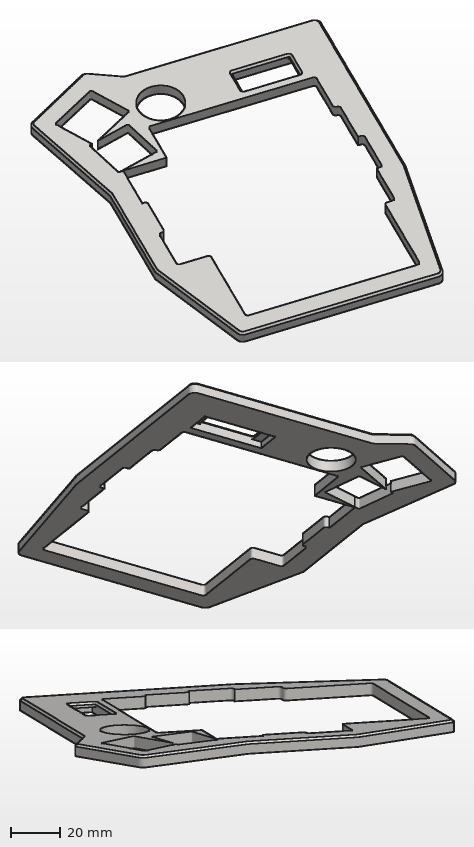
import cadquery as cq
import math

thickness = 5.0
edge_chamfer = 1.0

outline_radius = 3.0
left_x = 7.7
right_x = 163.0
top_y = 132.0
bottom_y = 14.3
tip_x = outline_radius * (1 - 1 / math.cos(math.radians(30)))
outline = [
    (left_x, top_y),
    (99.5, top_y),
    (right_x, 122.4),
    (right_x, 32.5),
    (115.7, bottom_y),
    (68.6, bottom_y),
    (18.4, -0.5),
    (tip_x, 31.6),
    (left_x, 46.1),
]

window_radius = 1.22
window_left = 38.8
window_right = 154.1
step_1_x = 58.0
step_2_top_x = 77.2
step_2_bottom_x = 78.2
step_3_x = 96.8
step_4_x = 116.3
shoulder_left_y = 117.6
shoulder_y = 120.2
window_top_y = 122.9
shoulder_right_y = 115.5
ledge_left_y = 43.7
ledge_right_y = 38.5
floor_left_y = 24.5
floor_middle_y = 26.5
floor_right_y = 24.0
window_sharp = [
    (step_2_top_x, shoulder_y),
    (step_3_x, shoulder_y),
    (step_2_bottom_x, floor_left_y),
    (step_1_x, floor_left_y),
    (step_1_x, ledge_left_y),
]
window = [
    (window_left, shoulder_left_y),
    (step_1_x, shoulder_left_y),
    (step_1_x, shoulder_y),
    (step_2_top_x, shoulder_y),
    (step_2_top_x, window_top_y),
    (step_3_x, window_top_y),
    (step_3_x, shoulder_y),
    (step_4_x, shoulder_y),
    (step_4_x, shoulder_right_y),
    (window_right, shoulder_right_y),
    (window_right, ledge_right_y),
    (step_4_x, ledge_right_y),
    (step_4_x, floor_right_y),
    (step_3_x, floor_right_y),
    (step_3_x, floor_middle_y),
    (step_2_bottom_x, floor_middle_y),
    (step_2_bottom_x, floor_left_y),
    (step_1_x, floor_left_y),
    (step_1_x, ledge_left_y),
    (window_left, ledge_left_y),
]

slot_width = 11.2
slot_length = 25.5
slot_center = (28.8, 99.9)
slot_radius = 0.5
recess_depth = 3.0
recess_overhang = 4.0

hole_diameter = 20.0
hole_center = (28.2, 53.6)

key_radius = 0.5
key_cutouts = [
    ((25.1, 24.6), (19.7, 24.1), 30),
    ((46.3, 29.5), (19.5, 19.9), 15),
]


def prism(points, radius, sharp_points=()):
    """Extrude a closed polygon through the plate thickness and round all but the sharp corners."""
    body = cq.Workplane("XY").polyline(points).close().extrude(thickness)
    corner_edges = body.edges("|Z")
    for x, y in sharp_points:
        corner_edges = corner_edges.edges(
            cq.selectors.InverseSelector(cq.NearestToPointSelector((x, y, thickness / 2)))
        )
    return corner_edges.fillet(radius)


def rounded_box(center, size, radius, tilt=0):
    """Block through the plate thickness with rounded vertical edges, turned about its centre."""
    block = cq.Workplane("XY").rect(*size).extrude(thickness).edges("|Z").fillet(radius)
    return block.rotate((0, 0, 0), (0, 0, 1), tilt).translate((*center, 0))


def flared_slot():
    """Straight slot whose rim widens by the edge chamfer at the top face."""
    rim_size = (slot_width + 2 * edge_chamfer, slot_length + 2 * edge_chamfer)
    rim = rounded_box(slot_center, rim_size, slot_radius + edge_chamfer)
    rim = rim.faces("<Z").chamfer(edge_chamfer).translate((0, 0, thickness - edge_chamfer))
    return rounded_box(slot_center, (slot_width, slot_length), slot_radius).union(rim)


def slot_recess():
    """Recess in the underside, as wide as the slot and reaching past both of its ends."""
    recess_length = slot_length + 2 * recess_overhang
    return cq.Workplane("XY").center(*slot_center).rect(slot_width, recess_length).extrude(recess_depth)


plate = prism(outline, outline_radius).faces(">Z").chamfer(edge_chamfer)
plate = plate.cut(prism(window, window_radius, window_sharp))
plate = plate.cut(flared_slot()).cut(slot_recess())
plate = plate.cut(cq.Workplane("XY").center(*hole_center).circle(hole_diameter / 2).extrude(thickness))
for center, size, tilt in key_cutouts:
    plate = plate.cut(rounded_box(center, size, key_radius, tilt))

result = plate